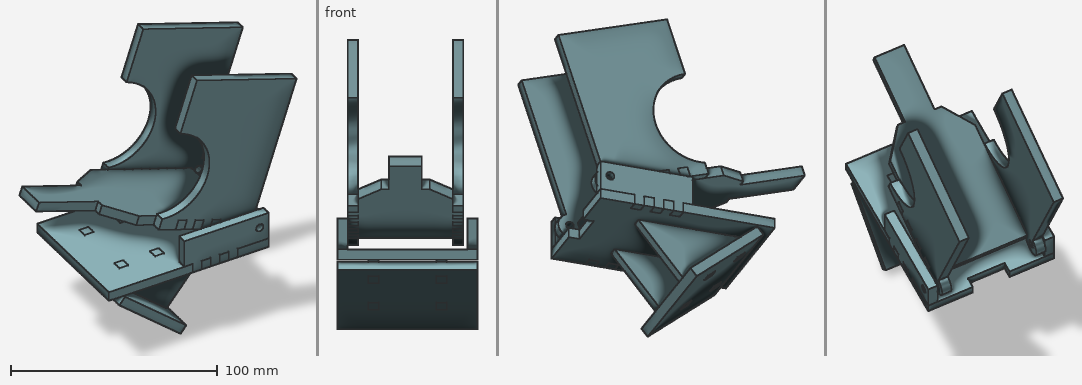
import cadquery as cq
import math


thickness = 5.0
tab_length = 5.0

base_width = 68.0
base_length = 90.0
hinge_height = 13.0
hinge_setback = 5.0
hinge_hole_diameter = 4.0
ear_length = 47.5
ear_height = 20.0
ear_tab_count = 3
ear_tab_start = 17.5
ear_tab_pitch = 2 * tab_length
notch_width = 19.8
notch_depth = 5.5

foot_angle = 40
foot_length = 45.0
foot_setback = 9.1
foot_drop = 0.8
gusset_spacing = 33.0
gusset_foot_edge = 42.2
gusset_tab_inset = 5.0
gusset_tab_pitch = 20.0
gusset_tab_count = 2

cradle_tilt = 18.45
cradle_clearance = 2.0
side_depth = 59.2
side_top = 78.8
side_bottom = -4.2
side_toe = 54.1
hinge_lobe_radius = 6.0
recess_radius = 24.0
recess_height = 25.2
seat_back = 4.5
seat_taper_start = 64.3
seat_taper_end = 79.3
seat_front = 114.4
seat_shoulder_width = 23.4
tongue_width = 16.0
seat_tab_count = 4
seat_tab_start = 8.8
seat_tab_pitch = 2 * tab_length

base_bottom = -hinge_height
base_back = hinge_setback
base_front = base_back - base_length
ear_middle = (base_width - thickness) / 2
cradle_left = -base_width / 2 + thickness
cradle_right = base_width / 2 - thickness - cradle_clearance
cradle_middle = (cradle_left + cradle_right) / 2
seat_width = cradle_right - cradle_left - 2 * thickness
side_offset = (seat_width + thickness) / 2
foot_radians = math.radians(foot_angle)
gusset_end_height = foot_drop / math.cos(foot_radians)
gusset_front = base_length - foot_setback - foot_drop * math.tan(foot_radians)


def evenly_spaced(start, pitch, count):
    """Start positions of a row of tabs."""
    return [start + pitch * i for i in range(count)]


ear_tab_starts = evenly_spaced(ear_tab_start, ear_tab_pitch, ear_tab_count)
gusset_tab_starts = evenly_spaced(gusset_tab_inset, gusset_tab_pitch, gusset_tab_count)
seat_tab_starts = evenly_spaced(seat_tab_start, seat_tab_pitch, seat_tab_count)


def upright_plane(y, z, tilt):
    """Plane square to X: local x runs forward and rises by `tilt` degrees, local z is -X."""
    angle = math.radians(tilt)
    return cq.Plane(origin=(0, y, z), xDir=(0, -math.cos(angle), math.sin(angle)), normal=(-1, 0, 0))


base_frame = upright_plane(base_back, base_bottom, 0)
cradle_frame = upright_plane(0, 0, cradle_tilt)
foot_frame = upright_plane(base_front + foot_setback, base_bottom - foot_drop, foot_angle)


def slab(frame, x_middle, width, start, bottom, length, height):
    """Block with its side outline in an upright frame and its `width` along X about x_middle."""
    outline = cq.Workplane(frame).center(start, bottom).rect(length, height, centered=False)
    return outline.extrude(width / 2, both=True).translate((x_middle, 0, 0))


def ear_tabs(x_middle):
    return [
        slab(base_frame, x_middle, thickness, start, 0, tab_length, thickness)
        for start in ear_tab_starts
    ]


def gusset_base_tabs(x_middle):
    tabs = []
    for start in gusset_tab_starts:
        tab_back = gusset_front - start - tab_length
        tabs.append(slab(base_frame, x_middle, thickness, tab_back, 0, tab_length, thickness))
    return tabs


def gusset_foot_tabs(x_middle):
    return [
        slab(foot_frame, x_middle, thickness, -start - tab_length, -thickness, tab_length, thickness)
        for start in gusset_tab_starts
    ]


def seat_tabs(x_middle):
    return [
        slab(cradle_frame, x_middle, thickness, start, side_bottom, tab_length, thickness)
        for start in seat_tab_starts
    ]


def join(body, pieces):
    for piece in pieces:
        body = body.union(piece)
    return body


def remove(body, pieces):
    for piece in pieces:
        body = body.cut(piece)
    return body


def hinge_hole(x_middle):
    return (
        cq.Workplane(base_frame)
        .center(hinge_setback, hinge_height)
        .circle(hinge_hole_diameter / 2)
        .extrude(thickness, both=True)
        .translate((x_middle, 0, 0))
    )


def make_base_plate():
    plate = slab(base_frame, 0, base_width, 0, 0, base_length, thickness)
    plate = plate.cut(slab(base_frame, 0, notch_width, 0, 0, notch_depth, thickness))
    for side in (-1, 1):
        plate = remove(plate, ear_tabs(side * ear_middle))
        plate = remove(plate, gusset_base_tabs(side * gusset_spacing / 2))
    return plate


def make_ear(x_middle):
    ear = slab(base_frame, x_middle, thickness, 0, thickness, ear_length, ear_height - thickness)
    return join(ear, ear_tabs(x_middle)).cut(hinge_hole(x_middle))


def make_gusset(x_middle):
    back_edge = gusset_end_height + gusset_foot_edge * math.tan(foot_radians)
    gusset = (
        cq.Workplane(foot_frame)
        .polyline(
            [
                (0, 0),
                (0, gusset_end_height),
                (-gusset_foot_edge, back_edge),
                (-gusset_foot_edge, 0),
            ]
        )
        .close()
        .extrude(thickness / 2, both=True)
        .translate((x_middle, 0, 0))
    )
    return join(gusset, gusset_base_tabs(x_middle) + gusset_foot_tabs(x_middle))


def make_foot_plate():
    foot = slab(foot_frame, 0, base_width, -foot_length, -thickness, foot_length, thickness)
    for side in (-1, 1):
        foot = remove(foot, gusset_foot_tabs(side * gusset_spacing / 2))
    return foot


def make_cradle_side(x_middle):
    recess_bottom = recess_height - math.sqrt(recess_radius**2 - (side_depth - side_toe) ** 2)
    side = (
        cq.Workplane(cradle_frame)
        .moveTo(0, side_bottom)
        .lineTo(side_toe, side_bottom)
        .lineTo(side_toe, recess_bottom)
        .threePointArc(
            (side_depth - recess_radius, recess_height),
            (side_depth, recess_height + recess_radius),
        )
        .lineTo(side_depth, side_top)
        .lineTo(0, side_top)
        .close()
        .extrude(thickness / 2, both=True)
    )
    lobe = cq.Workplane(cradle_frame).circle(hinge_lobe_radius).extrude(thickness / 2, both=True)
    side = side.union(lobe).translate((x_middle, 0, 0))
    return remove(side, seat_tabs(x_middle) + [hinge_hole(x_middle)])


def make_seat_plate():
    half_outline = [
        (seat_back, seat_width / 2),
        (seat_taper_start, seat_width / 2),
        (seat_taper_end, seat_shoulder_width / 2),
        (seat_taper_end, tongue_width / 2),
        (seat_front, tongue_width / 2),
    ]
    mirrored_half = [(forward, -across) for forward, across in reversed(half_outline)]
    seat_normal = cradle_frame.yDir
    seat_underside = cq.Plane(
        origin=seat_normal * side_bottom + cq.Vector(cradle_middle, 0, 0),
        xDir=cradle_frame.xDir,
        normal=seat_normal,
    )
    seat = cq.Workplane(seat_underside).polyline(half_outline + mirrored_half).close().extrude(thickness)
    for side in (-1, 1):
        seat = join(seat, seat_tabs(cradle_middle + side * side_offset))
    return seat


base_plate = make_base_plate()
foot_plate = make_foot_plate()
seat_plate = make_seat_plate()
ears = [make_ear(side * ear_middle) for side in (-1, 1)]
gussets = [make_gusset(side * gusset_spacing / 2) for side in (-1, 1)]
cradle_sides = [make_cradle_side(cradle_middle + side * side_offset) for side in (-1, 1)]

bodies = [base_plate, foot_plate, seat_plate, *ears, *gussets, *cradle_sides]
result = cq.Compound.makeCompound([body.solids().val() for body in bodies])